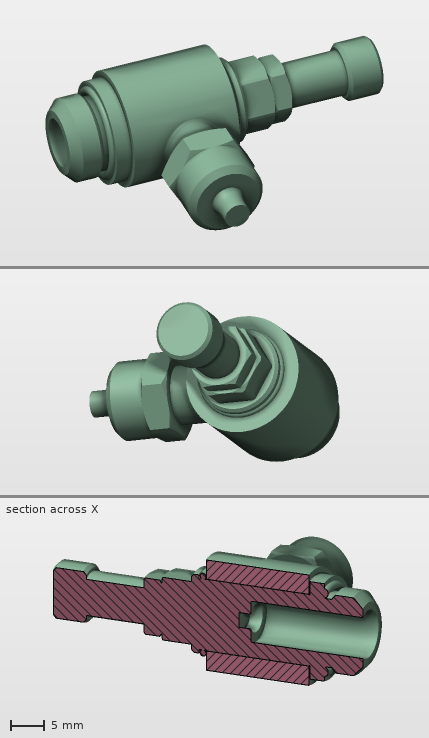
import cadquery as cq
import math


HOUSING_DIAMETER = 18.0
HOUSING_START = 8.8
HOUSING_END = 25.8
CORE_DIAMETER = 11.95
ARM_Y = 18.35
ARM_STUB_DIAMETER = 9.0
ARM_FILLET = 0.4
ARM_NUT_START = 12.65
ARM_NUT_END = 16.8
ARM_NUT_FLATS = 12.0
SLEEVE_DIAMETER = 12.0
SLEEVE_END = 22.7
SLEEVE_CHAMFER = 0.95
BARB_ROOT_DIAMETER = 5.0
BARB_TIP_DIAMETER = 4.0
BARB_FLARE_LENGTH = 2.1
BARB_END = 26.5

THREAD_DIAMETER = 13.0
THREAD_TIP_CHAMFER = 1.55
THREAD_END = 4.5
NECK_DIAMETER = 11.6
NECK_START = 5.15
O_RING_DIAMETER = 13.05
O_RING_RADIUS = (O_RING_DIAMETER - NECK_DIAMETER) / 2
O_RING_Y = 6.45
COLLAR_DIAMETER = 16.0
COLLAR_START = 6.3
COLLAR_END = 8.7
PORT_DIAMETER = 7.5
PORT_DEPTH = ARM_Y
SEAT_DIAMETER = 4.5
SEAT_DEPTH = 2.05

SNAP_WIRE_RADIUS = 0.5
SNAP_RING_DIAMETER = 12.75
SNAP_RING_GAP = 0.4
FLANGE_START = 27.0
FLANGE_END = 28.25
FLANGE_DIAMETER = 13.05
FLANGE_CHAMFER = 0.45
HEX_END = 33.15
HEX_FLATS = 10.0
HEX_TURNED_DIAMETER = 11.25
LOCKNUT_END = 36.1
LOCKNUT_FLATS = 9.0
SPINDLE_DIAMETER = 7.0
KNOB_START = 45.45
KNOB_END = 51.0
KNOB_DIAMETER = 9.0
KNOB_CHAMFER = 0.5

SEARCH_MARGIN = 0.5
NUT_CHAMFER_ANGLE = 30


def disc(diameter, start, end):
    """Cylinder on the Y axis between two Y positions."""
    return cq.Workplane("XZ", origin=(0, start, 0)).circle(diameter / 2).extrude(start - end)


def hexagon(flats, length, turned_diameter, chamfer_both_ends):
    """Hexagonal prism along +Z, corners on X, with coned ends and optionally turned corners."""
    corners = flats / math.cos(math.pi / 6)
    prism = cq.Workplane("XY").polygon(6, corners).extrude(length)
    outer = min(turned_diameter, corners) / 2
    inner = flats / 2
    rise = (outer - inner) * math.tan(math.radians(NUT_CHAMFER_ANGLE))
    profile = cq.Workplane("XZ").moveTo(0, 0)
    if chamfer_both_ends:
        profile = profile.lineTo(inner, 0).lineTo(outer, rise)
    else:
        profile = profile.lineTo(outer, 0)
    profile = profile.lineTo(outer, length - rise).lineTo(inner, length).lineTo(0, length)
    envelope = profile.close().revolve(360, (0, 0, 0), (0, 1, 0))
    return prism.intersect(envelope)


def stem_hexagon(flats, start, end, turned_diameter, chamfer_both_ends):
    """Hexagon on the stem axis with flats facing up and down."""
    shape = hexagon(flats, end - start, turned_diameter, chamfer_both_ends)
    return shape.rotate((0, 0, 0), (1, 0, 0), -90).translate((0, start, 0))


def ring(center_diameter, wire_radius, y, angle=360):
    """Round-section ring about the Y axis, starting at the top."""
    section = cq.Workplane("YZ").center(y, center_diameter / 2).circle(wire_radius)
    return section.revolve(angle, (0, -center_diameter / 2), (1, -center_diameter / 2))


def make_arm_end():
    """Union nut, sleeve and flared hose barb on the arm axis."""
    nut_corners = ARM_NUT_FLATS / math.cos(math.pi / 6)
    nut = hexagon(ARM_NUT_FLATS, ARM_NUT_END - ARM_NUT_START, nut_corners, True)
    nut = nut.rotate((0, 0, 0), (0, 1, 0), 90).rotate((0, 0, 0), (1, 0, 0), 90)
    nut = nut.translate((ARM_NUT_START, ARM_Y, 0))
    sleeve = (
        cq.Workplane("YZ", origin=(ARM_NUT_START, ARM_Y, 0))
        .circle(SLEEVE_DIAMETER / 2)
        .extrude(SLEEVE_END - ARM_NUT_START)
        .faces(">X")
        .chamfer(SLEEVE_CHAMFER)
    )
    flare_end = SLEEVE_END + BARB_FLARE_LENGTH
    barb = (
        cq.Workplane("XY", origin=(0, ARM_Y, 0))
        .moveTo(SLEEVE_END, 0)
        .lineTo(BARB_END, 0)
        .lineTo(BARB_END, BARB_TIP_DIAMETER / 2)
        .lineTo(flare_end, BARB_TIP_DIAMETER / 2)
        .tangentArcPoint((SLEEVE_END, BARB_ROOT_DIAMETER / 2), relative=False)
        .close()
        .revolve(360, (0, 0, 0), (1, 0, 0))
    )
    return nut.union(sleeve).union(barb)


def make_housing():
    """Banjo ring with its hose arm, bored for the stem."""
    body = disc(HOUSING_DIAMETER, HOUSING_START, HOUSING_END)
    stub = (
        cq.Workplane("YZ", origin=(0, ARM_Y, 0)).circle(ARM_STUB_DIAMETER / 2).extrude(ARM_NUT_START)
    )
    body = body.union(stub)
    half_width = ARM_STUB_DIAMETER / 2
    junction = cq.selectors.BoxSelector(
        (HOUSING_DIAMETER / 4, ARM_Y - half_width - SEARCH_MARGIN, -half_width - SEARCH_MARGIN),
        (HOUSING_DIAMETER / 2 + SEARCH_MARGIN, ARM_Y + half_width + SEARCH_MARGIN, half_width + SEARCH_MARGIN),
        boundingbox=True,
    )
    body = body.edges(junction).fillet(ARM_FILLET)
    body = body.union(make_arm_end())
    return body.cut(disc(CORE_DIAMETER, HOUSING_START, HOUSING_END))


def make_snap_ring():
    """Wire ring resting on the housing, with its gap at the top."""
    gap_angle = math.degrees(SNAP_RING_GAP / (SNAP_RING_DIAMETER / 2))
    wire = ring(SNAP_RING_DIAMETER, SNAP_WIRE_RADIUS, HOUSING_END + SNAP_WIRE_RADIUS, 360 - gap_angle)
    return wire.rotate((0, 0, 0), (0, 1, 0), gap_angle / 2)


def make_stem():
    """Hollow screw with its seals, hexagons and adjusting knob."""
    thread = disc(THREAD_DIAMETER, 0, THREAD_END).faces("<Y").chamfer(THREAD_TIP_CHAMFER)
    relief = (
        cq.Workplane("XY")
        .moveTo(0, THREAD_END)
        .lineTo(THREAD_DIAMETER / 2, THREAD_END)
        .lineTo(NECK_DIAMETER / 2, NECK_START)
        .lineTo(NECK_DIAMETER / 2, COLLAR_START)
        .lineTo(0, COLLAR_START)
        .close()
        .revolve(360, (0, 0, 0), (0, 1, 0))
    )
    stem = thread.union(relief)
    stem = stem.union(disc(COLLAR_DIAMETER, COLLAR_START, COLLAR_END))
    stem = stem.union(ring(O_RING_DIAMETER, O_RING_RADIUS, O_RING_Y))
    stem = stem.union(disc(CORE_DIAMETER, COLLAR_END, FLANGE_START))
    stem = stem.union(make_snap_ring())
    stem = stem.union(disc(FLANGE_DIAMETER, FLANGE_START, FLANGE_END).faces(">Y").chamfer(FLANGE_CHAMFER))
    stem = stem.union(stem_hexagon(HEX_FLATS, FLANGE_END, HEX_END, HEX_TURNED_DIAMETER, False))
    locknut_corners = LOCKNUT_FLATS / math.cos(math.pi / 6)
    stem = stem.union(stem_hexagon(LOCKNUT_FLATS, HEX_END, LOCKNUT_END, locknut_corners, True))
    stem = stem.union(disc(SPINDLE_DIAMETER, LOCKNUT_END, KNOB_START))
    stem = stem.union(disc(KNOB_DIAMETER, KNOB_START, KNOB_END).faces("<Y or >Y").chamfer(KNOB_CHAMFER))
    stem = stem.cut(disc(PORT_DIAMETER, 0, PORT_DEPTH))
    return stem.cut(disc(SEAT_DIAMETER, PORT_DEPTH, PORT_DEPTH + SEAT_DEPTH))


housing = make_housing()
stem = make_stem()
result = cq.Compound.makeCompound([housing.val(), stem.val()])